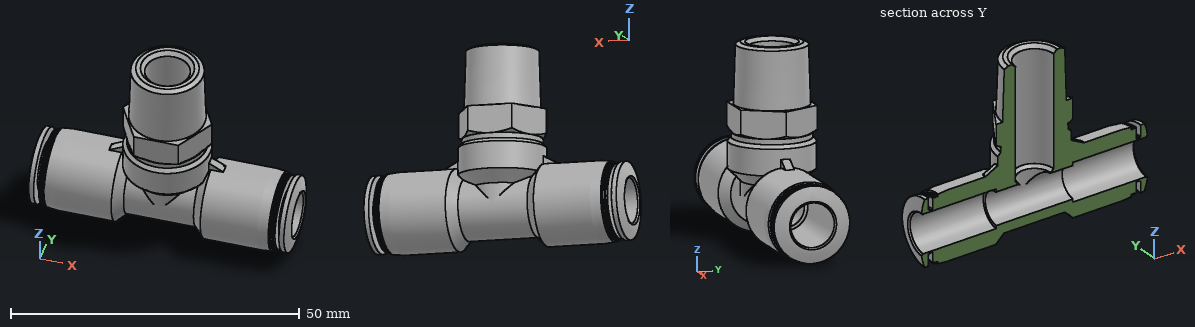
import cadquery as cq
import math

half_length = 23.7
branch_top = 28.0

core_radius = 11.05 / 2
body_radius = 7.25
body_end_radius = 7.05
shoulder_x = 8.05
shoulder_start_x = shoulder_x - (body_radius - core_radius)
taper_x = 18.35
body_end_x = 20.3

cap_radius = 13.5 / 2
cap_groove_radius = 6.6
cap_end_x = 21.4
barb_count = 2
barb_pitch = (cap_end_x - body_end_x) / barb_count
barb_land = 0.2
barb_ramp = 0.25

sleeve_radius = 8.8 / 2
sleeve_root_radius = 4.55
sleeve_taper_x = 21.9
flange_radius = 13.8 / 2
flange_dome_radius = 5.95
flange_back_x = 22.2
flange_rim_x = 23.1
flange_dome_x = 23.4
mouth_radius = 4.25

bore_radius = 6.7 / 2
socket_radius = 7.9 / 2
socket_end_x = shoulder_x
mouth_chamfer = mouth_radius - socket_radius

collar_radius = 15.5 / 2
neck_radius = 14.15 / 2
collar_bottom = 5.75
collar_cone_bottom = collar_bottom - (collar_radius - core_radius)
neck_bottom = 11.15
collar_top = neck_bottom - (collar_radius - neck_radius)

hex_flats = 14.0
hex_corners = hex_flats / math.cos(math.radians(30))
hex_bottom = 12.1
hex_top = 17.05
hex_chamfer_angle = 30.0

thread_root_radius = 6.75
thread_tip_radius = 6.4
thread_face_radius = 5.5
thread_chamfer_height = 0.45
branch_mouth_radius = 4.7
branch_mouth_depth = branch_mouth_radius - socket_radius
branch_step_z = collar_cone_bottom

rib_width = 1.6
rib_foot_x = 10.35
rib_top_z = 8.65


def revolve_about_x(points):
    """Turn an (x, radius) outline around the run axis."""
    return cq.Workplane("XZ").polyline(points).close().revolve(360, (0, 0), (1, 0))


def revolve_about_z(points):
    """Turn a (radius, z) outline around the branch axis."""
    return cq.Workplane("XZ").polyline(points).close().revolve(360, (0, 0), (0, 1))


def both_ends(solid):
    """Join a +X feature with its mirror image at -X."""
    return solid.union(solid.mirror("YZ"))


def make_run_body():
    return revolve_about_x([
        (0, 0),
        (0, core_radius),
        (shoulder_start_x, core_radius),
        (shoulder_x, body_radius),
        (taper_x, body_radius),
        (body_end_x, body_end_radius),
        (body_end_x, 0),
    ])


def make_cap():
    """Barbed rings, each with a flat land and a ramp facing the run end."""
    points = [(body_end_x, 0)]
    for index in range(barb_count):
        ring_end_x = cap_end_x - (barb_count - 1 - index) * barb_pitch
        land_end_x = ring_end_x - barb_ramp
        land_start_x = land_end_x - barb_land
        points += [
            (ring_end_x - barb_pitch, cap_groove_radius),
            (land_start_x, cap_groove_radius),
            (land_start_x, cap_radius),
            (land_end_x, cap_radius),
        ]
    points += [(cap_end_x, cap_groove_radius), (cap_end_x, 0)]
    return revolve_about_x(points)


def make_sleeve():
    """Flanged release sleeve with a domed outer face."""
    return (
        cq.Workplane("XZ")
        .moveTo(body_end_x, 0)
        .lineTo(body_end_x, sleeve_radius)
        .lineTo(sleeve_taper_x, sleeve_radius)
        .lineTo(flange_back_x, sleeve_root_radius)
        .lineTo(flange_back_x, flange_radius)
        .lineTo(flange_rim_x, flange_radius)
        .threePointArc((flange_dome_x, flange_dome_radius), (half_length, mouth_radius))
        .lineTo(half_length, 0)
        .close()
        .revolve(360, (0, 0), (1, 0))
    )


def make_run():
    return both_ends(make_run_body().union(make_cap()).union(make_sleeve()))


def make_branch():
    return revolve_about_z([
        (0, 0),
        (core_radius, 0),
        (core_radius, collar_cone_bottom),
        (collar_radius, collar_bottom),
        (collar_radius, collar_top),
        (neck_radius, neck_bottom),
        (neck_radius, hex_bottom),
        (thread_root_radius, hex_bottom),
        (thread_root_radius, hex_top),
        (thread_tip_radius, branch_top - thread_chamfer_height),
        (thread_face_radius, branch_top),
        (0, branch_top),
    ])


def make_hexagon():
    """Hexagon with corners on the X axis, chamfered on its lower corners."""
    prism = (
        cq.Workplane("XY")
        .workplane(offset=hex_bottom)
        .polygon(6, hex_corners)
        .extrude(hex_top - hex_bottom)
    )
    corner_radius = hex_corners / 2
    flat_radius = hex_flats / 2
    chamfer_rise = (corner_radius - flat_radius) * math.tan(math.radians(hex_chamfer_angle))
    envelope = revolve_about_z([
        (0, hex_bottom),
        (flat_radius, hex_bottom),
        (corner_radius, hex_bottom + chamfer_rise),
        (corner_radius, hex_top),
        (0, hex_top),
    ])
    return prism.intersect(envelope)


def make_ribs():
    rib = (
        cq.Workplane("XZ")
        .polyline([
            (0, core_radius),
            (shoulder_x, core_radius),
            (rib_foot_x, body_radius),
            (collar_radius, rib_top_z),
            (0, rib_top_z),
        ])
        .close()
        .extrude(rib_width / 2, both=True)
    )
    return both_ends(rib)


def make_run_bore():
    half = revolve_about_x([
        (0, 0),
        (0, bore_radius),
        (socket_end_x, bore_radius),
        (socket_end_x, socket_radius),
        (half_length - mouth_chamfer, socket_radius),
        (half_length, mouth_radius),
        (half_length, 0),
    ])
    return both_ends(half)


def make_branch_bore():
    return revolve_about_z([
        (0, 0),
        (bore_radius, 0),
        (bore_radius, branch_step_z),
        (socket_radius, branch_step_z + socket_radius - bore_radius),
        (socket_radius, branch_top - branch_mouth_depth),
        (branch_mouth_radius, branch_top),
        (0, branch_top),
    ])


body = make_run().union(make_branch()).union(make_hexagon()).union(make_ribs())
result = body.cut(make_run_bore()).cut(make_branch_bore())